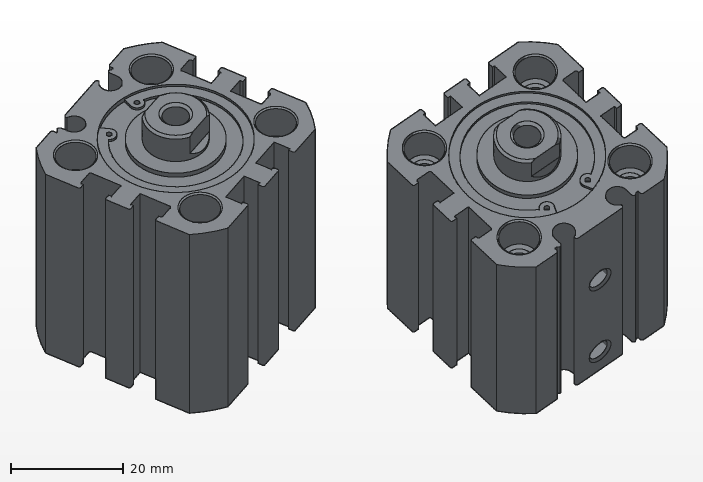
import cadquery as cq
import math


body_side = 40.0
body_height = 44.0
total_height = 50.0
half_side = body_side / 2
corner_diameter = 50.0

slot_depth = 4.5
lip_thickness = 1.25
rib_half_width = 2.0
mouth_inner = 2.6
mouth_outer = 7.85
y_face_slot_outer = 8.5
x_face_slot_outer = 8.3
lip_round = 0.3
slot_round = 0.35

groove_diameter = 4.15
groove_offset = 6.25
groove_centre_depth = 2.6
groove_mouth_inner = 5.55
groove_edge_round = 0.5
groove_step_y = 9.75
groove_step_depth = 1.0
groove_nub_base_y = 9.25
groove_nub_tip_y = 8.85
groove_nub_height = 0.35

mount_offset = 13.0
mount_hole_diameter = 4.15
mount_hole_mouth = 5.15
counterbore_diameter = 7.3
counterbore_mouth = 7.9
counterbore_depth = 7.0

port_heights = (5.5, 27.0)
port_diameter = 4.15
port_mouth = 5.1
port_depth = 5.0

recess_diameter = 28.0
recess_depth = 1.0
boss_diameter = 18.0
ring_inner_diameter = 24.0
ring_thickness = 0.5
ear_radius = 1.4
ear_angle = 23.5
ear_hole_diameter = 1.0
ear_hole_depth = 1.0

rod_diameter = 12.0
rod_socket_depth = 12.0
rod_chamfer = 0.5
flat_spacing = 10.0
flat_length = 4.5
rod_bore_diameter = 4.9
rod_bore_mouth = 6.0
rod_bore_depth = 12.0


def chamfered_hole(diameter, mouth, depth):
    """Hole tool with its mouth at the origin and a 45 degree chamfer, running down to -depth."""
    chamfer = (mouth - diameter) / 2
    half_profile = [
        (0, 0),
        (mouth / 2, 0),
        (diameter / 2, -chamfer),
        (diameter / 2, -depth),
        (0, -depth),
    ]
    return cq.Workplane("XZ").polyline(half_profile).close().revolve(360, (0, 0), (0, 1))


def t_slot(outer_wall):
    """T-slot tool for the +Y face, on the +X side of the rib."""
    lip_bottom = half_side - lip_thickness
    floor = half_side - slot_depth
    outline = [
        (mouth_inner, half_side),
        (mouth_inner, lip_bottom),
        (rib_half_width, lip_bottom),
        (rib_half_width, floor),
        (outer_wall, floor),
        (outer_wall, lip_bottom),
        (mouth_outer, lip_bottom),
        (mouth_outer, half_side),
    ]
    return cq.Workplane("XY").polyline(outline).close().extrude(body_height)


def t_slot_pair(outer_wall, face_angle):
    """Both slots of one face; face_angle turns them from the +Y face about Z."""
    slot = t_slot(outer_wall)
    pair = slot.union(slot.mirror("YZ"))
    return pair.rotate((0, 0, 0), (0, 0, 1), face_angle)


def round_upright_edges(body, places, radius):
    """Fillet the vertical edges that stand at the given (x, y) places."""
    edges = [
        body.edges(cq.selectors.NearestToPointSelector((x, y, body_height / 2))).val()
        for x, y in places
    ]
    return body.newObject(edges).fillet(radius)


def sensor_groove():
    """Groove tool for the -X face on the +Y side."""
    face_x = -half_side
    radius = groove_diameter / 2
    axis_x = face_x + groove_centre_depth
    wall_y = groove_offset + radius
    step_x = face_x + groove_step_depth
    tip_x = step_x - groove_nub_height
    nub_round = groove_nub_tip_y - wall_y
    bend = math.sqrt(0.5)
    rise = groove_offset - groove_mouth_inner
    meet_x = axis_x - math.sqrt(radius ** 2 - rise ** 2)
    edge_x = face_x + groove_edge_round
    inner_y = groove_mouth_inner - groove_edge_round
    outer_y = groove_step_y + groove_edge_round
    return (
        cq.Workplane("XY")
        .moveTo(face_x, outer_y)
        .threePointArc(
            (face_x + groove_edge_round * (1 - bend), outer_y - groove_edge_round * bend),
            (edge_x, groove_step_y),
        )
        .lineTo(step_x, groove_step_y)
        .lineTo(step_x, groove_nub_base_y)
        .lineTo(tip_x, groove_nub_tip_y)
        .threePointArc(
            (tip_x + nub_round * (1 - bend), groove_nub_tip_y - nub_round * bend),
            (tip_x + nub_round, wall_y),
        )
        .lineTo(axis_x, wall_y)
        .threePointArc((axis_x + radius * bend, groove_offset - radius * bend), (meet_x, groove_mouth_inner))
        .lineTo(edge_x, groove_mouth_inner)
        .threePointArc(
            (face_x + groove_edge_round * (1 - bend), inner_y + groove_edge_round * bend),
            (face_x, inner_y),
        )
        .close()
        .extrude(body_height)
    )


def extrusion():
    """Square profile with trimmed corners, T-slots and sensor grooves."""
    body = cq.Workplane("XY").rect(body_side, body_side).extrude(body_height)
    body = body.intersect(cq.Workplane("XY").circle(corner_diameter / 2).extrude(body_height))
    for face_angle in (0, 180):
        body = body.cut(t_slot_pair(y_face_slot_outer, face_angle))
    body = body.cut(t_slot_pair(x_face_slot_outer, -90))

    signs = (-1, 1)
    mouth_edges = [
        (side * mouth, face * half_side)
        for side in signs for face in signs for mouth in (mouth_inner, mouth_outer)
    ]
    mouth_edges += [(half_side, side * mouth) for side in signs for mouth in (mouth_inner, mouth_outer)]
    body = round_upright_edges(body, mouth_edges, lip_round)

    far_corners = [
        (side * y_face_slot_outer, face * (half_side - depth))
        for side in signs for face in signs for depth in (lip_thickness, slot_depth)
    ]
    body = round_upright_edges(body, far_corners, slot_round)

    groove = sensor_groove()
    return body.cut(groove).cut(groove.mirror("XZ"))


def mounting_hole():
    """Counterbored through hole tool with its mouth at the origin."""
    counterbore = chamfered_hole(counterbore_diameter, counterbore_mouth, counterbore_depth)
    hole = chamfered_hole(mount_hole_diameter, mount_hole_mouth, body_height - counterbore_depth)
    return counterbore.union(hole.translate((0, 0, -counterbore_depth)))


def air_port():
    """Blind port tool, entering the -X face at Z = 0."""
    port = chamfered_hole(port_diameter, port_mouth, port_depth)
    return port.rotate((0, 0, 0), (0, 1, 0), -90).translate((-half_side, 0, 0))


def retaining_ring():
    """Open ring with two eyed ears, lying on the recess floor."""
    outer_radius = recess_diameter / 2
    inner_radius = ring_inner_diameter / 2
    disc = cq.Workplane("XY").circle(outer_radius).extrude(ring_thickness)
    ring = disc.cut(cq.Workplane("XY").circle(inner_radius).extrude(ring_thickness))

    gap_x = -2 * outer_radius
    gap_y = -gap_x * math.tan(math.radians(ear_angle))
    gap = [(0, 0), (gap_x, gap_y), (gap_x, -gap_y)]
    ring = ring.cut(cq.Workplane("XY").polyline(gap).close().extrude(ring_thickness))

    ear = cq.Workplane("XY").center(-inner_radius, 0).circle(ear_radius).extrude(ring_thickness)
    shank = (
        cq.Workplane("XY").center(-outer_radius, 0)
        .rect(2 * (outer_radius - inner_radius), 2 * ear_radius).extrude(ring_thickness)
    )
    ear = ear.union(shank).intersect(disc)
    for angle in (-ear_angle, ear_angle):
        ring = ring.union(ear.rotate((0, 0, 0), (0, 0, 1), angle))
    return ring.translate((0, 0, body_height - recess_depth))


def make_housing():
    body = extrusion()

    hole = mounting_hole()
    for x in (-mount_offset, mount_offset):
        for y in (-mount_offset, mount_offset):
            body = body.cut(hole.translate((x, y, body_height)))

    port = air_port()
    for height in port_heights:
        body = body.cut(port.translate((0, 0, height)))

    floor_z = body_height - recess_depth
    recess = (
        cq.Workplane("XY").workplane(offset=floor_z)
        .circle(recess_diameter / 2).circle(boss_diameter / 2).extrude(recess_depth)
    )
    body = body.cut(recess).union(retaining_ring())

    ear_hole = (
        cq.Workplane("XY").workplane(offset=floor_z + ring_thickness)
        .center(-ring_inner_diameter / 2, 0).circle(ear_hole_diameter / 2).extrude(-ear_hole_depth)
    )
    for angle in (-ear_angle, ear_angle):
        body = body.cut(ear_hole.rotate((0, 0, 0), (0, 0, 1), angle))

    socket = (
        cq.Workplane("XY").workplane(offset=body_height)
        .circle(rod_diameter / 2).extrude(-rod_socket_depth)
    )
    return body.cut(socket)


def make_rod():
    foot_z = body_height - rod_socket_depth
    rod = (
        cq.Workplane("XY").workplane(offset=foot_z)
        .circle(rod_diameter / 2).extrude(total_height - foot_z)
        .faces(">Z").chamfer(rod_chamfer)
    )

    flat_x = flat_spacing / 2
    rod_radius = rod_diameter / 2
    flat_end_z = total_height - flat_length
    flat_profile = [
        (flat_x, total_height),
        (flat_x, flat_end_z),
        (rod_radius, flat_end_z - (rod_radius - flat_x)),
        (rod_radius, total_height),
    ]
    flat = cq.Workplane("XZ").polyline(flat_profile).close().extrude(rod_radius, both=True)
    rod = rod.cut(flat).cut(flat.mirror("YZ"))

    bore = chamfered_hole(rod_bore_diameter, rod_bore_mouth, rod_bore_depth)
    return rod.cut(bore.translate((0, 0, total_height)))


housing = make_housing()
rod = make_rod()
result = cq.Compound.makeCompound([housing.solids().val(), rod.solids().val()])